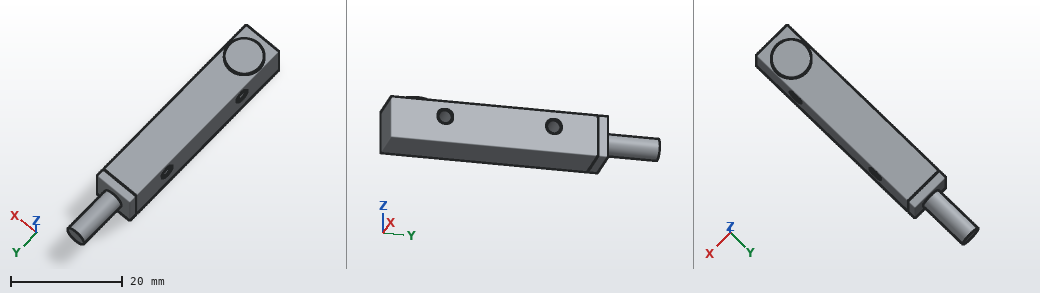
import cadquery as cq

width = 8.0
housing_length = 40.0
cap_length = 1.8
cap_gap = 0.1
body_length = housing_length - cap_length - cap_gap
edge_radius = 0.2

total_length = 50.0
cable_diameter = 4.0

hole_diameter = 2.5
hole_mouth_diameter = 2.9
hole_height = 5.0
hole_positions = (10.0, 30.0)

button_diameter = 7.0
button_height = 0.5
button_position = 5.0
button_edge_radius = 0.25
button_foot_flare = 0.15


def rounded_block(start, length):
    """Square block along Y with every edge rounded."""
    block = cq.Workplane("XY").box(width, length, width, centered=(True, False, False))
    return block.edges().fillet(edge_radius).translate((0, start, 0))


def neck():
    """Inset block reaching into body and cap to join them."""
    neck_width = width - 2 * edge_radius
    neck_length = cap_gap + 2 * edge_radius
    return (
        cq.Workplane("XY")
        .box(neck_width, neck_length, neck_width)
        .translate((0, body_length + cap_gap / 2, width / 2))
    )


def cable():
    """Cable from inside the cap out to the rear end."""
    start = housing_length - cap_length / 2
    return (
        cq.Workplane("XZ", origin=(0, start, width / 2))
        .circle(cable_diameter / 2)
        .extrude(-(total_length - start))
    )


def button():
    """Sensing disc with a rounded top edge and a tapered foot, rooted in the housing."""
    root_depth = button_height
    radius = button_diameter / 2
    foot = radius + button_foot_flare
    return (
        cq.Workplane("XZ")
        .moveTo(0, -root_depth)
        .lineTo(foot, -root_depth)
        .lineTo(foot, 0)
        .lineTo(radius, button_height - button_edge_radius)
        .radiusArc((radius - button_edge_radius, button_height), -button_edge_radius)
        .lineTo(0, button_height)
        .close()
        .revolve(360, (0, 0, 0), (0, 1, 0))
        .translate((0, button_position, width))
    )


def mounting_hole(position):
    """Through hole cutter with a 45 degree countersink at both sides."""
    bevel = (hole_mouth_diameter - hole_diameter) / 2
    side = width / 2
    bore = hole_diameter / 2
    mouth = hole_mouth_diameter / 2
    return (
        cq.Workplane("XY")
        .moveTo(-side, 0)
        .lineTo(-side, mouth)
        .lineTo(-side + bevel, bore)
        .lineTo(side - bevel, bore)
        .lineTo(side, mouth)
        .lineTo(side, 0)
        .close()
        .revolve(360, (0, 0, 0), (1, 0, 0))
        .translate((0, position, hole_height))
    )


cap = rounded_block(housing_length - cap_length, cap_length)
result = rounded_block(0, body_length).union(cap).union(neck())
result = result.union(cable()).union(button())
for hole_position in hole_positions:
    result = result.cut(mounting_hole(hole_position))